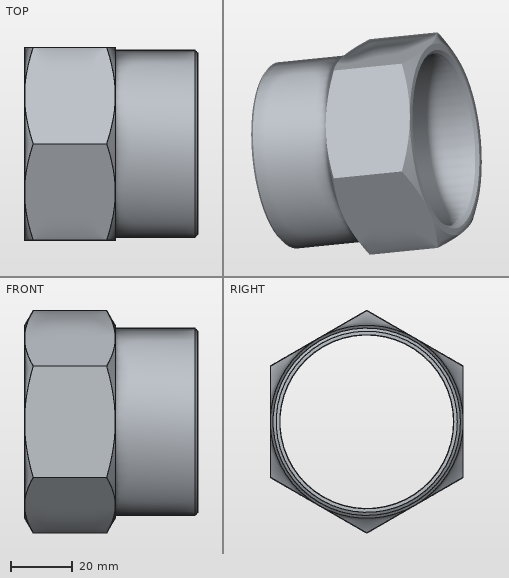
import cadquery as cq
import math

across_corners = 72.75
across_flats = across_corners * math.cos(math.radians(30))
total_length = 56.6
hex_length = 29.6
collar_diameter = 61.2
bore_diameter = 56.7
collar_chamfer = 1.0
bore_chamfer = 1.0
hex_chamfer_angle = 30.0

corner_radius = across_corners / 2
flat_radius = across_flats / 2
hex_chamfer_length = (corner_radius - flat_radius) * math.tan(math.radians(hex_chamfer_angle))


def revolve_about_x(points):
    """Revolve a closed (x, radius) outline about the X axis."""
    return cq.Workplane("XY").polyline(points).close().revolve(360, (0, 0, 0), (1, 0, 0))


def make_hex():
    """Hexagon with corners at the top and bottom, chamfered at both ends."""
    corners = []
    for index in range(6):
        angle = math.radians(90 + 60 * index)
        corners.append((corner_radius * math.cos(angle), corner_radius * math.sin(angle)))
    prism = cq.Workplane("YZ").polyline(corners).close().extrude(hex_length)
    envelope = revolve_about_x([
        (0, 0),
        (0, flat_radius),
        (hex_chamfer_length, corner_radius),
        (hex_length - hex_chamfer_length, corner_radius),
        (hex_length, flat_radius),
        (hex_length, 0),
    ])
    return prism.intersect(envelope)


def make_collar():
    """Round collar with a chamfered outer end."""
    collar = cq.Workplane("YZ").circle(collar_diameter / 2).extrude(total_length)
    return collar.faces(">X").edges().chamfer(collar_chamfer)


def make_bore():
    """Through bore with a chamfered mouth at the hexagon end."""
    bore_radius = bore_diameter / 2
    return revolve_about_x([
        (0, 0),
        (0, bore_radius + bore_chamfer),
        (bore_chamfer, bore_radius),
        (total_length, bore_radius),
        (total_length, 0),
    ])


result = make_hex().union(make_collar()).cut(make_bore())